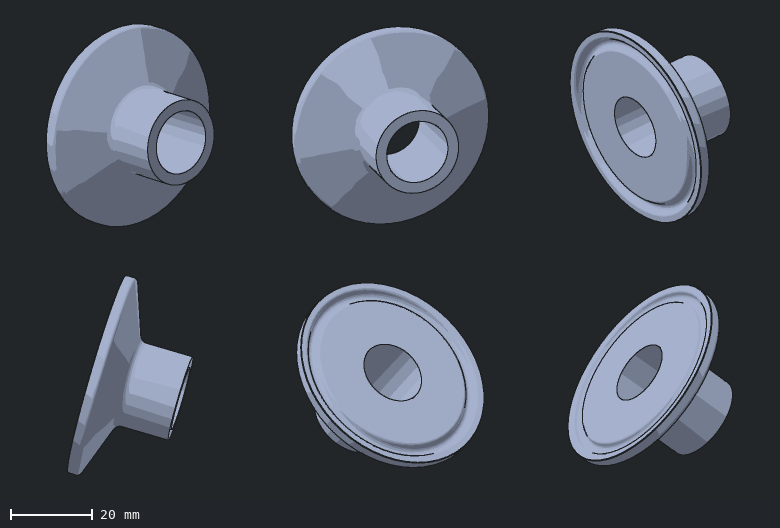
import cadquery as cq
import math

length = 21.5
flange_radius = 25.25
tube_radius = 10.7
bore_radius = 7.95

cone_angle = math.radians(20)
rim_width = 2.2
rim_round = 1.0
face_chamfer = 0.15
neck_round = 2.0

groove_radius = 21.7
groove_floor_round = 1.25
groove_lip_round = 0.8
groove_wall_angle = math.radians(20)
groove_wall_length = 0.25

cone_sine = math.sin(cone_angle)
cone_cosine = math.cos(cone_angle)


def arc_point(center, radius, angle):
    """Point on a circle, with the angle measured from +X toward +Y."""
    return (center[0] + radius * math.cos(angle), center[1] + radius * math.sin(angle))


def make_body():
    """Revolve the flange, cone and tube, including the through bore."""
    mid_angle = (math.pi / 2 + cone_angle) / 2
    rim_center = (rim_width, flange_radius - rim_round)
    rim_middle = arc_point(rim_center, rim_round, mid_angle)
    cone_start = arc_point(rim_center, rim_round, cone_angle)

    neck_center_y = tube_radius + neck_round
    cone_end_y = neck_center_y - neck_round * cone_sine
    cone_end_x = cone_start[0] + (cone_start[1] - cone_end_y) * math.tan(cone_angle)
    neck_center = (cone_end_x + neck_round * cone_cosine, neck_center_y)
    neck_middle = arc_point(neck_center, neck_round, math.pi + mid_angle)

    return (
        cq.Workplane("XY")
        .moveTo(0, bore_radius)
        .lineTo(0, flange_radius - face_chamfer)
        .lineTo(face_chamfer, flange_radius)
        .lineTo(rim_width, flange_radius)
        .threePointArc(rim_middle, cone_start)
        .lineTo(cone_end_x, cone_end_y)
        .threePointArc(neck_middle, (neck_center[0], tube_radius))
        .lineTo(length, tube_radius)
        .lineTo(length, bore_radius)
        .close()
        .revolve(360, (0, 0, 0), (1, 0, 0))
    )


def make_groove():
    """Ring cutter: a round floor, short sloped walls and rounded lips."""
    wall_sine = math.sin(groove_wall_angle)
    wall_cosine = math.cos(groove_wall_angle)
    half_angle = (math.pi / 2 - groove_wall_angle) / 2

    floor_half_width = groove_floor_round * wall_cosine
    wall_half_width = floor_half_width + groove_wall_length * wall_sine
    lip_half_width = wall_half_width + groove_lip_round * wall_cosine
    wall_start = groove_lip_round * (1 - wall_sine)
    wall_end = wall_start + groove_wall_length * wall_cosine
    floor_depth = wall_end + groove_floor_round * (1 - wall_sine)

    lip_middle_depth = groove_lip_round * (1 - math.cos(half_angle))
    lip_middle_width = lip_half_width - groove_lip_round * math.sin(half_angle)

    return (
        cq.Workplane("XY")
        .moveTo(0, groove_radius + lip_half_width)
        .threePointArc(
            (lip_middle_depth, groove_radius + lip_middle_width),
            (wall_start, groove_radius + wall_half_width),
        )
        .lineTo(wall_end, groove_radius + floor_half_width)
        .threePointArc((floor_depth, groove_radius), (wall_end, groove_radius - floor_half_width))
        .lineTo(wall_start, groove_radius - wall_half_width)
        .threePointArc(
            (lip_middle_depth, groove_radius - lip_middle_width),
            (0, groove_radius - lip_half_width),
        )
        .close()
        .revolve(360, (0, 0, 0), (1, 0, 0))
    )


result = make_body().cut(make_groove())